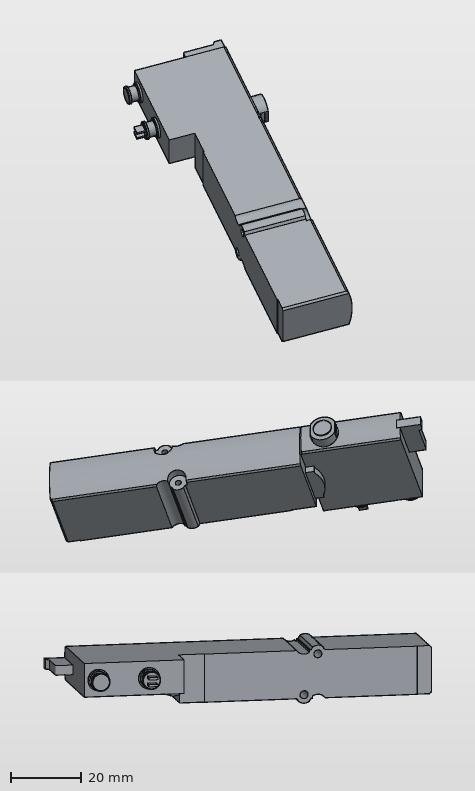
import cadquery as cq
import math

part_length = 108.5
body_height = 14.0
body_start = 35.3
back_edge = 20.25
back_chamfer_width = 0.65
back_chamfer_height = 0.35
body_bulge = 1.05
end_set_back = 0.25
middle_start = 42.5
middle_end = 104.3
end_chamfer = 0.6

block_start = 6.0
block_end = 35.0
block_front = -7.5
block_bottom = 4.2
block_bulge = 0.75
block_axis_z = (block_bottom + body_height) / 2

boss_x = 75.4
groove_x = 71.4
boss_axis_z = 12.85
boss_radius = 2.5
groove_radius = 2.65
groove_depth = 1.1
groove_axis_z = body_height - groove_depth + groove_radius
boss_flank_start = 72.95
boss_flank_end = 73.9
boss_back = 18.5
screw_pocket_width = 5.3
screw_diameter = 2.3
screw_exit_diameter = 1.7
screw_entry_depth = 10.0

tab_back = 21.0
tab_front = 9.1
tab_thickness = 2.8
tab_hook = 1.0
tab_hook_front = 18.9
tab_hook_slope = 0.8
tab_corner_radius = 0.4

plug_tip = 31.3
plug_shoulder = 32.8
plug_front = 1.5
plug_back = 13.85
plug_lip = 0.7
plug_bottom = 1.95
plug_top = 3.9

port_positions = (10.1, 24.8)
port_flange_diameter = 6.1
port_flange_length = 0.6
port_step_diameter = 5.3
port_step_length = 0.35
port_neck_diameter = 4.5
port_length = 4.0
port_rim_thickness = 0.8
port_rim_chamfer = 0.25

blade_width = 2.5
blade_thickness = 0.65
blade_spacing = 2.0
blade_tip = -14.04

button_x = 28.0
button_diameter = 8.1
button_face_diameter = 5.3
button_shoulder = 23.8
button_tip = 24.15
button_flat_distance = 3.5
button_flat_start = 21.5
button_rib_reach = 3.85
button_rib_start = 22.6
button_rib_end = 23.0
button_rib_height = 2.8

overlap = 1.0


def box(x_start, x_end, y_start, y_end, z_start, z_end):
    """Box between the given limits."""
    size = (x_end - x_start, y_end - y_start, z_end - z_start)
    return cq.Workplane("XY").box(*size, centered=False).translate((x_start, y_start, z_start))


def cylinder(x, z, diameter, y_start, y_end):
    """Cylinder along Y between two Y positions."""
    plane = cq.Workplane("XZ", origin=(x, y_start, z))
    return plane.circle(diameter / 2).extrude(y_start - y_end)


def arched_bar(x_start, x_end, y_front, z_bottom, bulge):
    """Bar along X with a flat front and a back that bulges in an arc between two chamfers."""
    chamfer_start = back_edge - back_chamfer_width
    arc_bottom = z_bottom + back_chamfer_height
    arc_top = body_height - back_chamfer_height
    return (
        cq.Workplane("YZ", origin=(x_start, 0, 0))
        .moveTo(y_front, z_bottom)
        .lineTo(chamfer_start, z_bottom)
        .lineTo(back_edge, arc_bottom)
        .threePointArc((back_edge + bulge, (arc_bottom + arc_top) / 2), (back_edge, arc_top))
        .lineTo(chamfer_start, body_height)
        .lineTo(y_front, body_height)
        .close()
        .extrude(x_end - x_start)
    )


def half_turn(shape):
    """Shape turned half a turn about the Y axis through the middle of the boss pair."""
    x = (boss_x + groove_x) / 2
    z = body_height / 2
    return shape.rotate((x, 0, z), (x, 1, z), 180)


def make_body():
    body = arched_bar(body_start, part_length, 0, 0, body_bulge)
    for x_start, x_end in ((body_start, middle_start), (middle_end, part_length)):
        body = body.cut(box(x_start, x_end, 0, end_set_back, 0, body_height))
    return body.faces(">X").edges("|Y").chamfer(end_chamfer)


def make_block():
    block = arched_bar(block_start, block_end, block_front, block_bottom, block_bulge)
    joint = box(block_end, body_start, end_set_back, back_edge - back_chamfer_width,
                block_bottom, body_height)
    return block.union(joint)


def make_boss():
    """Upper boss: a rounded top between two steep flanks, the left one ending in the groove."""
    flank_bottom = groove_axis_z - math.sqrt(groove_radius**2 - (boss_flank_start - groove_x) ** 2)
    flank_top = boss_axis_z + math.sqrt(boss_radius**2 - (boss_x - boss_flank_end) ** 2)
    return (
        cq.Workplane("XZ")
        .moveTo(boss_flank_start, flank_bottom)
        .lineTo(boss_flank_end, flank_top)
        .threePointArc((boss_x, boss_axis_z + boss_radius), (2 * boss_x - boss_flank_end, flank_top))
        .lineTo(2 * boss_x - boss_flank_start, flank_bottom)
        .close()
        .extrude(-boss_back)
    )


def make_groove():
    """Cutter for the groove beside the upper boss, ending at the foot of the boss's flank."""
    cutter = cylinder(groove_x, groove_axis_z, 2 * groove_radius, -overlap, button_tip)
    return cutter.intersect(
        box(groove_x - groove_radius, boss_flank_start, -overlap, button_tip, 0, 2 * body_height)
    )


def make_screw_hole():
    """Cutter for the stepped screw hole and the open-topped screw pocket behind the boss."""
    entry = cylinder(boss_x, boss_axis_z, screw_diameter, -overlap, screw_entry_depth)
    through = cylinder(boss_x, boss_axis_z, screw_exit_diameter, -overlap, boss_back + overlap)
    pocket = cylinder(boss_x, boss_axis_z, screw_pocket_width, boss_back, button_tip)
    opening = box(boss_x - screw_pocket_width / 2, boss_x + screw_pocket_width / 2,
                  boss_back, button_tip, boss_axis_z, body_height + overlap)
    return entry.union(through).union(pocket).union(opening)


def make_tab():
    hook_end = tab_hook_front - tab_hook_slope
    outline = [
        (block_start + overlap, tab_back),
        (0, tab_back),
        (0, tab_hook_front),
        (tab_hook, hook_end),
        (tab_hook, tab_front),
        (block_start + overlap, tab_front),
    ]
    tab = (
        cq.Workplane("XY", origin=(0, 0, block_axis_z - tab_thickness / 2))
        .polyline(outline)
        .close()
        .extrude(tab_thickness)
    )
    return tab.edges("|Z").edges("<Y").edges("<X").fillet(tab_corner_radius)


def make_plug():
    return (
        cq.Workplane("XY", origin=(0, 0, plug_bottom))
        .moveTo(body_start + overlap, plug_front)
        .lineTo(plug_shoulder, plug_front)
        .lineTo(plug_shoulder, plug_front + plug_lip)
        .threePointArc((plug_tip, (plug_front + plug_back) / 2), (plug_shoulder, plug_back - plug_lip))
        .lineTo(plug_shoulder, plug_back)
        .lineTo(body_start + overlap, plug_back)
        .close()
        .extrude(plug_top - plug_bottom)
    )


def make_port(x):
    flange_end = block_front - port_flange_length
    step_end = flange_end - port_step_length
    port_end = block_front - port_length
    rim_start = port_end + port_rim_thickness
    flange = cylinder(x, block_axis_z, port_flange_diameter, flange_end, block_front + overlap)
    step = cylinder(x, block_axis_z, port_step_diameter, step_end, block_front)
    neck = cylinder(x, block_axis_z, port_neck_diameter, port_end, block_front)
    rim = cylinder(x, block_axis_z, port_step_diameter, port_end, rim_start)
    rim = rim.faces("<Y").edges().chamfer(port_rim_chamfer)
    return flange.union(step).union(neck).union(rim)


def make_blades(x):
    blades = cq.Workplane("XY")
    for side in (-1, 1):
        z = block_axis_z + side * blade_spacing / 2
        blades = blades.union(
            box(x - blade_width / 2, x + blade_width / 2, blade_tip, block_front,
                z - blade_thickness / 2, z + blade_thickness / 2)
        )
    return blades


def make_button():
    """Round button with a raised face and, on both sides, a flat that carries a small rib."""
    radius = button_diameter / 2
    button = cylinder(button_x, block_axis_z, button_diameter, back_edge - overlap, button_shoulder)
    flats = box(button_x - button_flat_distance, button_x + button_flat_distance,
                button_flat_start, button_shoulder, block_axis_z - radius, block_axis_z + radius)
    base = box(button_x - radius, button_x + radius, back_edge - overlap, button_flat_start,
               block_axis_z - radius, block_axis_z + radius)
    button = button.intersect(flats.union(base))
    ribs = box(button_x - button_rib_reach, button_x + button_rib_reach, button_rib_start, button_rib_end,
               block_axis_z - button_rib_height / 2, block_axis_z + button_rib_height / 2)
    face = cylinder(button_x, block_axis_z, button_face_diameter, back_edge, button_tip)
    return button.union(ribs).union(face)


result = make_body().cut(make_groove()).cut(half_turn(make_groove()))
result = result.union(make_boss()).union(half_turn(make_boss()))
result = result.cut(make_screw_hole()).cut(half_turn(make_screw_hole()))
result = result.union(make_block()).union(make_tab()).union(make_plug()).union(make_button())
for port_x in port_positions:
    result = result.union(make_port(port_x))
result = result.union(make_blades(port_positions[-1]))